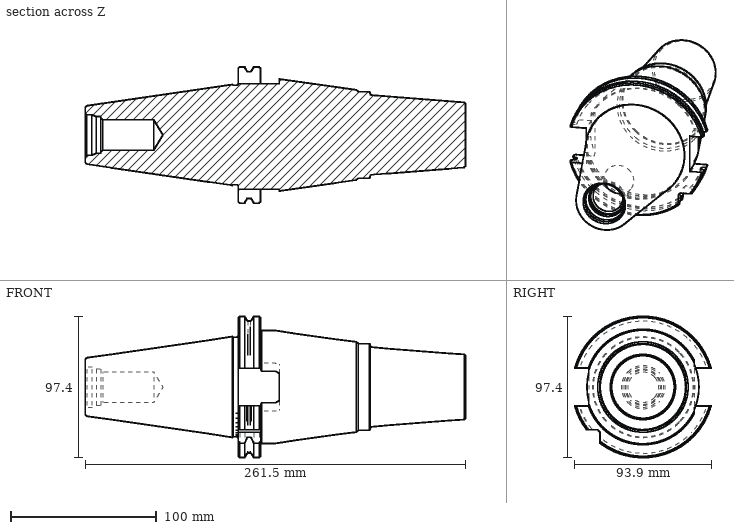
import cadquery as cq
import math


total_length = 261.5
taper_end_x = 101.2
flange_start_x = 105.2
flange_end_x = 120.5
collar_end_x = 130.5
body_end_x = 186.3
band_start_x = 187.8
band_end_x = 196.0

taper_end_radius = 34.8
neck_radius = 34.3
flange_radius = 48.7
collar_radius = 39.0
body_end_radius = 31.0
band_radius = 29.8
nose_start_radius = 27.5
nose_end_radius = 22.5

taper_slope = 7 / 24 / 2
small_end_radius = taper_end_radius - taper_slope * taper_end_x

small_end_fillet = 2.0
neck_chamfer = taper_end_radius - neck_radius
neck_fillet = 1.3
flange_chamfer = 1.0
collar_fillet = 0.8
band_chamfer = 0.5
nose_fillet = 1.3
nose_chamfer = 1.0

groove_center_x = 112.7
groove_depth = 3.1
groove_floor_width = 2.5
groove_fillet = 0.8
groove_clearance = 2.5
groove_flank_run = groove_depth * math.tan(math.radians(30))

slot_width = 26.0
front_slot_floor = 37.5
back_slot_floor = 35.3
flat_end_x = 133.5

notch_offset = 29.5
notch_corner = 1.5

mouth_radius = 15.0
mouth_chamfer = 1.0
recess_radius = mouth_radius - mouth_chamfer
recess_depth = 4.5
pilot_radius = 12.5
pilot_start = 7.5
pilot_depth = 10.7
thread_chamfer = 1.3
thread_radius = 10.5
thread_depth = 47.0
drill_point_angle = 118


def revolve_about_x(profile):
    """Turn a closed XY profile about the X axis."""
    return profile.close().revolve(360, (0, 0, 0), (1, 0, 0))


def turned_body():
    profile = (
        cq.Workplane("XY")
        .lineTo(0, small_end_radius)
        .lineTo(taper_end_x, taper_end_radius)
        .lineTo(taper_end_x + neck_chamfer, neck_radius)
        .lineTo(flange_start_x - neck_fillet, neck_radius)
        .radiusArc((flange_start_x, neck_radius + neck_fillet), -neck_fillet)
        .lineTo(flange_start_x, flange_radius - flange_chamfer)
        .lineTo(flange_start_x + flange_chamfer, flange_radius)
        .lineTo(flange_end_x - flange_chamfer, flange_radius)
        .lineTo(flange_end_x, flange_radius - flange_chamfer)
        .lineTo(flange_end_x, collar_radius + collar_fillet)
        .radiusArc((flange_end_x + collar_fillet, collar_radius), -collar_fillet)
        .lineTo(collar_end_x, collar_radius)
        .lineTo(body_end_x, body_end_radius)
        .lineTo(band_start_x, band_radius)
        .lineTo(band_end_x - band_chamfer, band_radius)
        .lineTo(band_end_x, band_radius - band_chamfer)
        .lineTo(band_end_x, nose_start_radius + nose_fillet)
        .radiusArc((band_end_x + nose_fillet, nose_start_radius), -nose_fillet)
        .lineTo(total_length - nose_chamfer, nose_end_radius)
        .lineTo(total_length, nose_end_radius - nose_chamfer)
        .lineTo(total_length, 0)
    )
    return revolve_about_x(profile).faces("<X").edges().fillet(small_end_fillet)


def gripper_groove():
    floor_half = groove_floor_width / 2
    mouth_half = floor_half + groove_flank_run
    floor_radius = flange_radius - groove_depth
    rim_radius = flange_radius + groove_clearance
    profile = (
        cq.Workplane("XY")
        .moveTo(groove_center_x - floor_half, floor_radius)
        .lineTo(groove_center_x - mouth_half, flange_radius)
        .lineTo(groove_center_x - mouth_half, rim_radius)
        .lineTo(groove_center_x + mouth_half, rim_radius)
        .lineTo(groove_center_x + mouth_half, flange_radius)
        .lineTo(groove_center_x + floor_half, floor_radius)
    )
    floor_edges = cq.selectors.RadiusNthSelector(0)
    return revolve_about_x(profile).edges("%CIRCLE").edges(floor_edges).fillet(groove_fillet)


def pull_stud_bore():
    tip_length = thread_radius / math.tan(math.radians(drill_point_angle / 2))
    profile = (
        cq.Workplane("XY")
        .lineTo(0, mouth_radius)
        .lineTo(mouth_chamfer, recess_radius)
        .lineTo(recess_depth, recess_radius)
        .lineTo(pilot_start, pilot_radius)
        .lineTo(pilot_depth, pilot_radius)
        .lineTo(pilot_depth, thread_radius + thread_chamfer)
        .lineTo(pilot_depth + thread_chamfer, thread_radius)
        .lineTo(thread_depth, thread_radius)
        .lineTo(thread_depth + tip_length, 0)
    )
    return revolve_about_x(profile)


def drive_slot(floor, side):
    """Slot through the flange whose floor runs on as a flat across the collar."""
    depth = flange_radius - floor
    center_y = side * (floor + depth / 2)
    flange_width = flange_end_x - flange_start_x
    flat_length = flat_end_x - flange_end_x
    slot = cq.Workplane("XY").box(flange_width, depth, slot_width, centered=(False, True, True))
    flat = (
        cq.Workplane("XY")
        .box(flat_length, depth, 2 * collar_radius, centered=(False, True, True))
        .translate((flange_width, 0, 0))
    )
    return slot.union(flat).translate((flange_start_x, center_y, 0))


def orientation_notch():
    size = flange_radius - notch_offset
    center = -(notch_offset + size / 2)
    return (
        cq.Workplane("XY")
        .box(flange_end_x - flange_start_x, size, size, centered=(False, True, True))
        .edges(">Y and >Z")
        .chamfer(notch_corner)
        .translate((flange_start_x, center, center))
    )


result = (
    turned_body()
    .cut(gripper_groove())
    .cut(pull_stud_bore())
    .cut(drive_slot(front_slot_floor, -1))
    .cut(drive_slot(back_slot_floor, 1))
    .cut(orientation_notch())
)